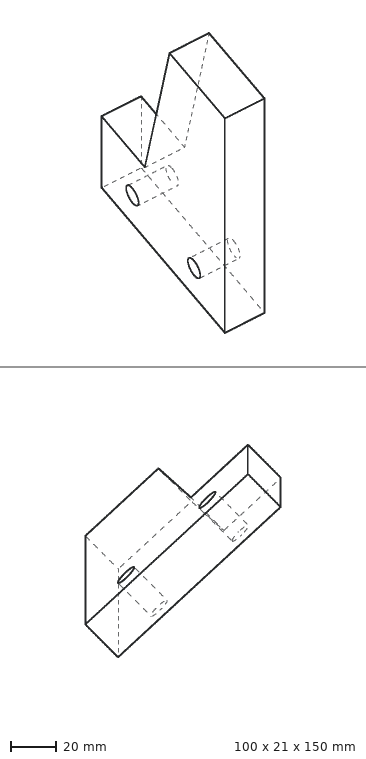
import cadquery as cq

width = 100.0
thickness = 21.0
height = 150.0

foot_height = 50.0
upright_base_width = 65.0
upright_top_width = 45.0

hole_diameter = 10.0
hole_spacing = 50.0
hole_height = 20.0
hole_centers = [((width - hole_spacing) / 2 + i * hole_spacing, hole_height) for i in range(2)]


def make_plate():
    """Plate with its front face on y = 0, extending toward +Y."""
    outline = [
        (0, 0),
        (width, 0),
        (width, height),
        (width - upright_top_width, height),
        (width - upright_base_width, foot_height),
        (0, foot_height),
    ]
    return cq.Workplane("XZ").polyline(outline).close().extrude(-thickness)


def make_holes():
    """Two round cutters as long as the plate is thick."""
    return cq.Workplane("XZ").pushPoints(hole_centers).circle(hole_diameter / 2).extrude(-thickness)


result = make_plate().cut(make_holes())